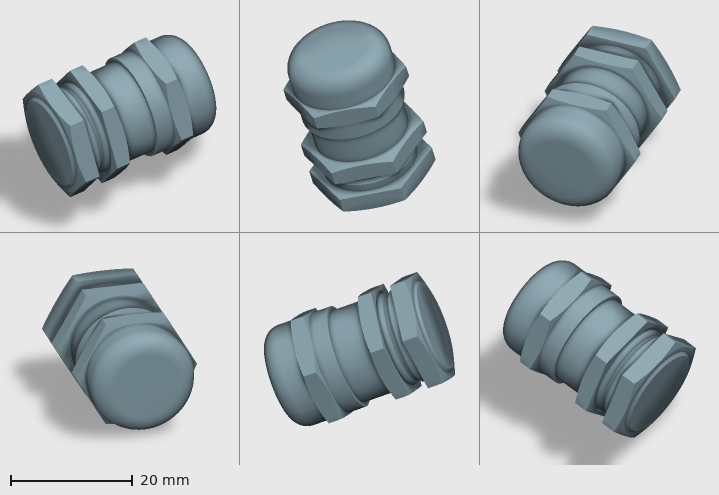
import cadquery as cq
import math

length = 28.0
across_flats = 18.0
thread_diameter = 16.0
neck_diameter = 15.0
cap_diameter = 17.5
recess_diameter = 16.7

locknut_end = 3.6
thread_end = 4.98
neck_start = 5.5
body_hex_start = 7.0
body_hex_end = 10.05
cap_start = 15.6
cap_hex_start = 18.65
cap_hex_end = 22.0
dome_start = 25.0

locknut_face_diameter = 17.85
body_hex_face_diameter = 17.15
chamfer_angle = math.radians(20)

seal_section_radius = 0.78
seal_center = 6.65

end_chamfer = (thread_diameter - neck_diameter) / 2
locknut_start = end_chamfer
dome_radius = length - dome_start
corner_radius = across_flats / math.sqrt(3)
recess_end = seal_center + seal_section_radius


def cylinder(diameter, start, end):
    """Solid cylinder on the Y axis between two stations."""
    plane = cq.Workplane("XZ", origin=(0, start, 0))
    return plane.circle(diameter / 2).extrude(start - end)


def hexagon(start, end, start_face=None, end_face=None):
    """Hexagonal collar; an end given a face diameter is turned down to it by a cone."""
    plane = cq.Workplane("XZ", origin=(0, start, 0))
    prism = plane.polygon(6, 2 * corner_radius).extrude(start - end)

    outline = [(0, start)]
    if start_face:
        drop = (corner_radius - start_face / 2) * math.tan(chamfer_angle)
        outline += [(start_face / 2, start), (corner_radius, start + drop)]
    else:
        outline.append((corner_radius, start))
    if end_face:
        drop = (corner_radius - end_face / 2) * math.tan(chamfer_angle)
        outline += [(corner_radius, end - drop), (end_face / 2, end)]
    else:
        outline.append((corner_radius, end))
    outline.append((0, end))
    envelope = cq.Workplane("XY").polyline(outline).close().revolve(360, (0, 0, 0), (0, 1, 0))
    return prism.intersect(envelope)


thread = (
    cylinder(thread_diameter, 0, neck_start)
    .faces("<Y").chamfer(end_chamfer)
    .faces(">Y").chamfer(neck_start - thread_end, end_chamfer)
)
neck = cylinder(neck_diameter, neck_start, recess_end)
locknut = hexagon(locknut_start, locknut_end, start_face=locknut_face_diameter)

body_hex = hexagon(body_hex_start, body_hex_end, end_face=body_hex_face_diameter)
body_hex = body_hex.cut(cylinder(recess_diameter, body_hex_start, recess_end))
body = cylinder(thread_diameter, body_hex_end, cap_start)

seal_ring_radius = thread_diameter / 2 - seal_section_radius
seal = (
    cq.Workplane("XY")
    .center(seal_ring_radius, seal_center)
    .circle(seal_section_radius)
    .revolve(360, (-seal_ring_radius, 0, 0), (-seal_ring_radius, 1, 0))
)

cap = cylinder(cap_diameter, cap_start, length).faces(">Y").edges().fillet(dome_radius)
cap_hex = hexagon(cap_hex_start, cap_hex_end, start_face=cap_diameter, end_face=cap_diameter)

result = thread
for piece in (neck, locknut, body_hex, seal, body, cap, cap_hex):
    result = result.union(piece)